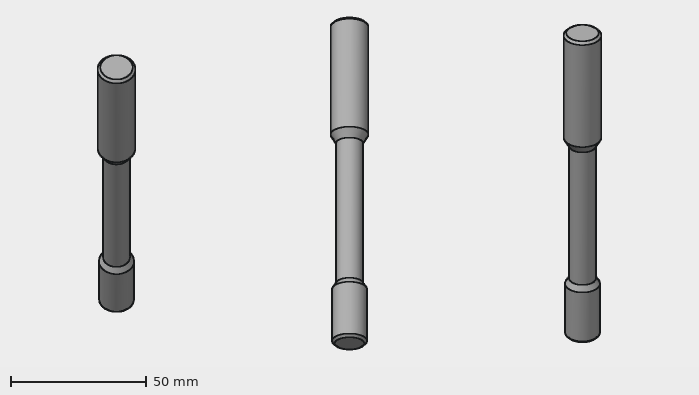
import cadquery as cq

length = 130.0

head_diameter = 14.0
shank_diameter = 10.0
foot_diameter = 13.0

head_length = 48.5
foot_length = 24.5
head_taper_height = 3.5
foot_taper_height = 2.3
end_chamfer = 1.0

head_radius = head_diameter / 2
shank_radius = shank_diameter / 2
foot_radius = foot_diameter / 2
head_bottom = length - head_length

profile = [
    (0, 0),
    (foot_radius - end_chamfer, 0),
    (foot_radius, end_chamfer),
    (foot_radius, foot_length - foot_taper_height),
    (shank_radius, foot_length),
    (shank_radius, head_bottom),
    (head_radius, head_bottom + head_taper_height),
    (head_radius, length - end_chamfer),
    (head_radius - end_chamfer, length),
    (0, length),
]

result = cq.Workplane("XZ").polyline(profile).close().revolve(360, (0, 0, 0), (0, 1, 0))